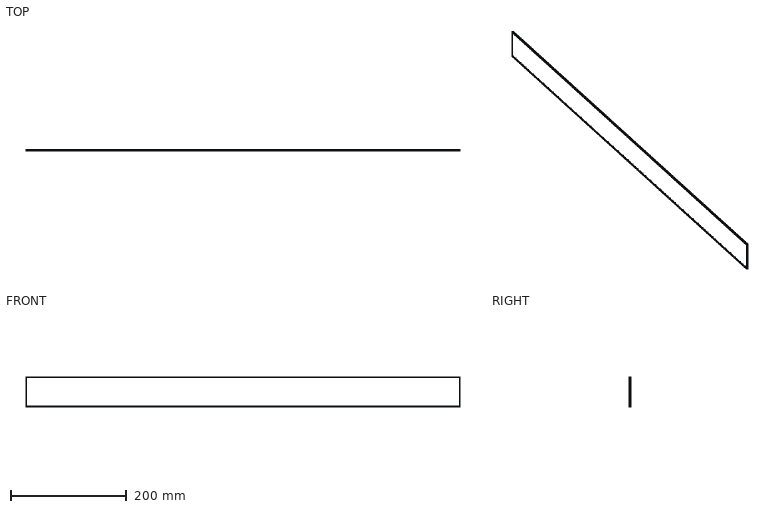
import cadquery as cq

length = 750.0
thickness = 2.0
height = 51.0

result = cq.Workplane("XY").box(length, thickness, height)